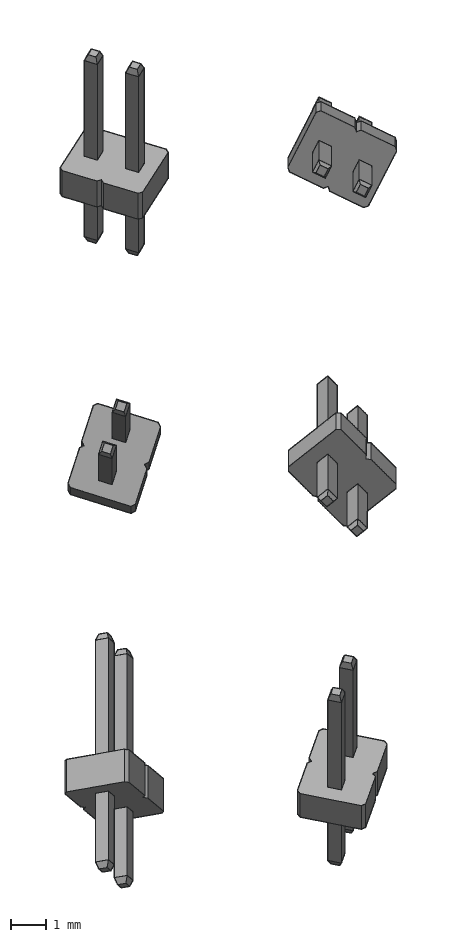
import cadquery as cq

PIN_COUNT = 2
BODY_LENGTH = 2.55
BODY_WIDTH = 2.0
BODY_HEIGHT = 1.0
CORNER_CHAMFER = 0.1

PIN_LENGTH = 7.2
PIN_WIDTH = 0.4
PIN_BELOW_BODY = 2.305
TIP_LENGTH = 0.2
TIP_INSET = 0.07

PITCH = BODY_LENGTH / PIN_COUNT
TIP_WIDTH = PIN_WIDTH - 2 * TIP_INSET
PIN_BOTTOM = -PIN_BELOW_BODY
PIN_TOP = PIN_BOTTOM + PIN_LENGTH


def body_cell(x):
    """One chamfered block; neighbouring chamfers form the V notches between pins."""
    return (
        cq.Workplane("XY")
        .center(x, 0)
        .rect(PITCH, BODY_WIDTH)
        .extrude(BODY_HEIGHT)
        .edges("|Z")
        .chamfer(CORNER_CHAMFER)
    )


def square_frustum(x, z, start_width, end_width, height):
    """A square prism or taper rising from height z."""
    return (
        cq.Workplane("XY", origin=(x, 0, z))
        .rect(start_width, start_width)
        .workplane(offset=height)
        .rect(end_width, end_width)
        .loft(ruled=True)
    )


def pin(x):
    """A square pin tapered at both ends."""
    shank_length = PIN_LENGTH - 2 * TIP_LENGTH
    lower_tip = square_frustum(x, PIN_BOTTOM, TIP_WIDTH, PIN_WIDTH, TIP_LENGTH)
    shank = square_frustum(x, PIN_BOTTOM + TIP_LENGTH, PIN_WIDTH, PIN_WIDTH, shank_length)
    upper_tip = square_frustum(x, PIN_TOP - TIP_LENGTH, PIN_WIDTH, TIP_WIDTH, TIP_LENGTH)
    return lower_tip.union(shank).union(upper_tip)


header = cq.Workplane("XY")
for index in range(PIN_COUNT):
    pin_x = (index - (PIN_COUNT - 1) / 2) * PITCH
    header = header.union(body_cell(pin_x)).union(pin(pin_x))

result = header.clean()